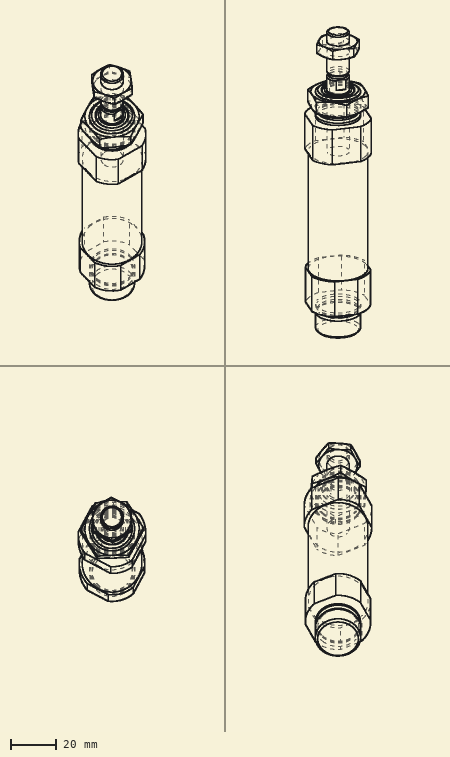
import cadquery as cq
import math

barrel_dia = 26.5
cap_across_flats = 27.0
front_cap_dia = 30.0
rear_cap_dia = 29.0
cap_height = 17.0
rear_cap_bottom = 12.8
front_cap_top = 104.0
front_cap_bottom = front_cap_top - cap_height

stub_length = rear_cap_bottom
stub_dia = 20.0
stub_root_dia = 18.0
stub_tip_chamfer = 1.0
stub_thread_end = 8.7
stub_groove_start = 9.8
stub_groove_end = 10.7
stub_collar_start = 11.7
housing_top = front_cap_top + stub_length

wiper_rim_dia = 14.9
wiper_root_dia = 14.1
wiper_lip_dia = 11.9
wiper_depth = 0.5

rod_dia = 10.0
rod_tip_dia = 8.65
rod_groove_dia = 8.4
rod_shoulder_dia = 8.57
rod_top = 145.4
rod_bottom = front_cap_bottom
rod_tip_chamfer = (rod_dia - rod_tip_dia) / 2
rod_groove_chamfer = (rod_dia - rod_groove_dia) / 2
rod_thread_length = 19.5
rod_shoulder_top = rod_top - 21.4
rod_shoulder_chamfer = (rod_dia - rod_shoulder_dia) / 2
rod_across_flats = 9.0
rod_flat_length = 4.5
rod_flat_top = rod_shoulder_top - rod_shoulder_chamfer
rod_flat_bottom = rod_flat_top - rod_flat_length

head_nut_across_flats = 24.0
head_nut_height = 7.0
head_nut_bottom = 109.0
rod_nut_across_flats = 17.0
rod_nut_height = 5.0
rod_nut_bottom = rod_top - 10.0
hexagon_half_angle = 30.0
nut_chamfer_angle = 20.0


def revolved(diameters_and_heights):
    """Solid of revolution about Z through (diameter, height) points, closed along the axis."""
    first_height = diameters_and_heights[0][1]
    last_height = diameters_and_heights[-1][1]
    outline = [(0, first_height)]
    outline += [(diameter / 2, height) for diameter, height in diameters_and_heights]
    outline.append((0, last_height))
    return cq.Workplane("XZ").polyline(outline).close().revolve(360, (0, 0), (0, 1))


def cylinder(diameter, bottom, top):
    return cq.Workplane("XY").workplane(offset=bottom).circle(diameter / 2).extrude(top - bottom)


def make_cap(diameter, bottom):
    """Round end cap with four flats facing X and Y."""
    flats = (
        cq.Workplane("XY")
        .workplane(offset=bottom)
        .rect(cap_across_flats, cap_across_flats)
        .extrude(cap_height)
    )
    return cylinder(diameter, bottom, bottom + cap_height).intersect(flats)


def make_stub():
    """Threaded stub with its free end at height 0 and an undercut next to the cap."""
    return revolved([
        (stub_root_dia, 0),
        (stub_dia, stub_tip_chamfer),
        (stub_dia, stub_thread_end),
        (stub_root_dia, stub_groove_start),
        (stub_root_dia, stub_groove_end),
        (stub_dia, stub_collar_start),
        (stub_dia, stub_length),
    ])


def make_wiper_groove():
    """Ring-shaped groove in the front face, steep outside and sloping up to the lip inside."""
    section = [
        (wiper_rim_dia / 2, housing_top),
        (wiper_root_dia / 2, housing_top - wiper_depth),
        (wiper_lip_dia / 2, housing_top),
    ]
    return cq.Workplane("XZ").polyline(section).close().revolve(360, (0, 0), (0, 1))


def make_housing():
    rear_stub = make_stub()
    front_stub = make_stub().rotate((0, 0, 0), (1, 0, 0), 180).translate((0, 0, housing_top))
    return (
        cylinder(barrel_dia, rear_cap_bottom, front_cap_top)
        .union(make_cap(rear_cap_dia, rear_cap_bottom))
        .union(make_cap(front_cap_dia, front_cap_bottom))
        .union(rear_stub)
        .union(front_stub)
        .cut(make_wiper_groove())
        .cut(cylinder(rod_dia, rod_bottom, housing_top))
    )


def make_rod():
    """Rod with a threaded end, an undercut behind the thread and two wrench flats facing X."""
    thread_bottom = rod_top - rod_thread_length
    rod = revolved([
        (rod_dia, rod_bottom),
        (rod_dia, rod_shoulder_top - rod_shoulder_chamfer),
        (rod_shoulder_dia, rod_shoulder_top),
        (rod_groove_dia, rod_shoulder_top),
        (rod_groove_dia, thread_bottom - rod_groove_chamfer),
        (rod_dia, thread_bottom),
        (rod_dia, rod_top - rod_tip_chamfer),
        (rod_tip_dia, rod_top),
    ])
    flat_depth = (rod_dia - rod_across_flats) / 2
    flat_cutters = (
        cq.Workplane("XY")
        .workplane(offset=rod_flat_bottom)
        .pushPoints([(side * (rod_dia - flat_depth) / 2, 0) for side in (-1, 1)])
        .rect(flat_depth, rod_dia)
        .extrude(rod_shoulder_top - rod_flat_bottom)
    )
    return rod.cut(flat_cutters)


def make_nut(across_flats, height, bore, corner_angle):
    """Hexagon nut on height 0 with its corners chamfered; one corner points at corner_angle from X."""
    corner_dia = across_flats / math.cos(math.radians(hexagon_half_angle))
    face_dia = across_flats
    chamfer = (corner_dia - face_dia) / 2 * math.tan(math.radians(nut_chamfer_angle))
    envelope = revolved([
        (face_dia, 0),
        (corner_dia, chamfer),
        (corner_dia, height - chamfer),
        (face_dia, height),
    ])
    return (
        cq.Workplane("XY")
        .polygon(6, corner_dia)
        .extrude(height)
        .rotate((0, 0, 0), (0, 0, 1), corner_angle)
        .intersect(envelope)
        .cut(cylinder(bore, 0, height))
    )


housing = make_housing()
rod = make_rod()
head_nut = make_nut(head_nut_across_flats, head_nut_height, stub_dia, 0)
head_nut = head_nut.translate((0, 0, head_nut_bottom))
rod_nut = make_nut(rod_nut_across_flats, rod_nut_height, rod_dia, 90)
rod_nut = rod_nut.translate((0, 0, rod_nut_bottom))

result = cq.Compound.makeCompound([housing.val(), rod.val(), head_nut.val(), rod_nut.val()])